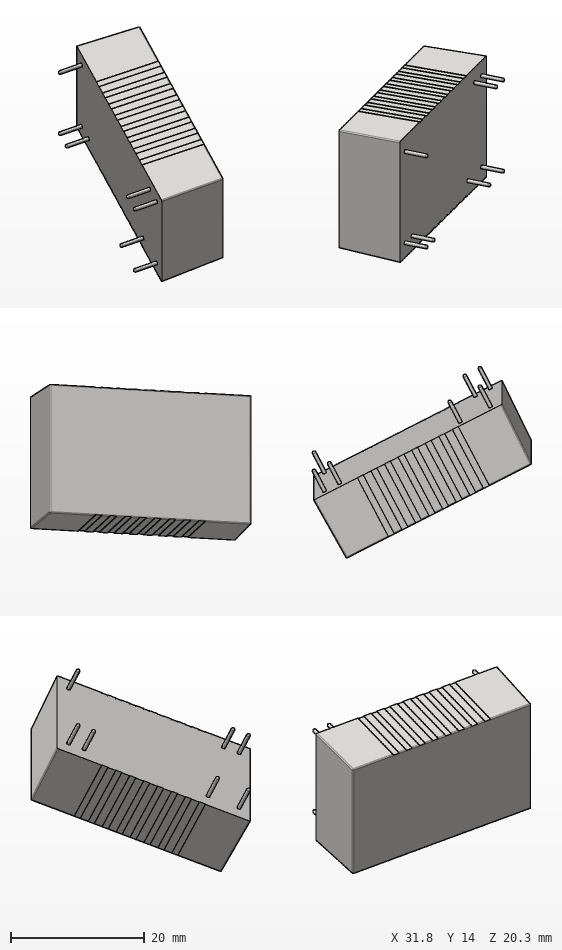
import cadquery as cq
import math

CASE_WIDTH = 31.8
CASE_HEIGHT = 20.3
CASE_DEPTH = 10.2
DRAFT_ANGLE = 1.5
EDGE_RADIUS = 0.2

GROOVE_COUNT = 8
GROOVE_PITCH = 2.3
GROOVE_WIDTH = 1.0
GROOVE_DEPTH = 0.1

TOTAL_DEPTH = 14.0
PIN_LENGTH = TOTAL_DEPTH - CASE_DEPTH
PIN_RADIUS = 0.302
PIN_GRID = 2.55
PIN_ROW_Z = 3 * PIN_GRID
UPPER_PIN_STEPS = (-5.5, 4.5, 5.5)
LOWER_PIN_STEPS = (-5.5, -4.5, 3.5, 5.5)


def make_case():
    """Drafted block with rounded side corners and a rounded back rim."""
    block = (
        cq.Workplane("XZ")
        .rect(CASE_WIDTH, CASE_HEIGHT)
        .extrude(-CASE_DEPTH, taper=DRAFT_ANGLE)
    )
    front_rim = block.faces("<Y").edges().vals()
    rounded = [edge for edge in block.edges().vals() if not any(edge.isSame(rim) for rim in front_rim)]
    return block.newObject(rounded).fillet(EDGE_RADIUS)


def make_groove(x, side):
    """Cutter for one groove whose floor follows the draft; side is +1 (top) or -1 (bottom)."""
    front_floor = CASE_HEIGHT / 2 - GROOVE_DEPTH
    back_floor = front_floor - CASE_DEPTH * math.tan(math.radians(DRAFT_ANGLE))
    outside = CASE_HEIGHT / 2 + GROOVE_DEPTH
    profile = [
        (0, side * front_floor),
        (CASE_DEPTH, side * back_floor),
        (CASE_DEPTH, side * outside),
        (0, side * outside),
    ]
    return (
        cq.Workplane("YZ", origin=(x - GROOVE_WIDTH / 2, 0, 0))
        .polyline(profile)
        .close()
        .extrude(GROOVE_WIDTH)
    )


def make_pin(x, z):
    """Round pin with a domed tip."""
    shank_length = PIN_LENGTH - PIN_RADIUS
    shank = cq.Workplane("XZ", origin=(x, 0, z)).circle(PIN_RADIUS).extrude(shank_length)
    tip = cq.Workplane("XZ", origin=(x, -shank_length, z)).sphere(PIN_RADIUS)
    return shank.union(tip)


result = make_case()

for index in range(GROOVE_COUNT):
    groove_x = (index - (GROOVE_COUNT - 1) / 2) * GROOVE_PITCH
    for side in (1, -1):
        result = result.cut(make_groove(groove_x, side))

for steps, row_z in ((UPPER_PIN_STEPS, PIN_ROW_Z), (LOWER_PIN_STEPS, -PIN_ROW_Z)):
    for step in steps:
        result = result.union(make_pin(step * PIN_GRID, row_z))